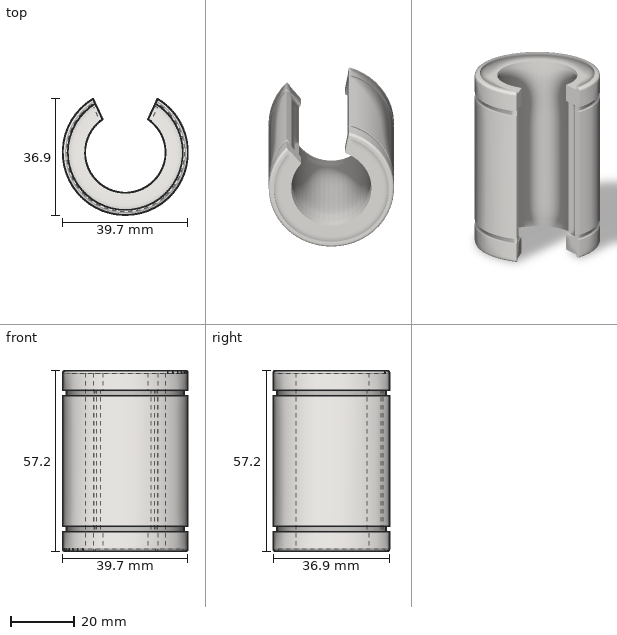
import cadquery as cq
import math

length = 57.15
outer_radius = 19.85
bore_radius = 12.7
edge_round = 0.85

groove_radius = 18.65
groove_width = 1.65
end_land = 6.25

lip_inner_radius = 18.2
recess_depth = 0.8

slot_half_angle = math.radians(25)
slot_wall_offset = 2.05

cage_radius = 17.45
cage_setback = 1.05
cage_length = length - 2 * end_land


def disc(radius, height):
    return cq.Workplane("XY").circle(radius).extrude(height / 2, both=True)


def slot_wedge(wall_offset, height):
    """Wedge whose walls lie wall_offset from the axis, measured square to each wall."""
    reach = 2 * outer_radius
    apex_y = -wall_offset / math.sin(slot_half_angle)
    half_mouth = (reach - apex_y) * math.tan(slot_half_angle)
    corners = [(0, apex_y), (half_mouth, reach), (-half_mouth, reach)]
    wedge = cq.Workplane("XY").polyline(corners).close().extrude(height / 2, both=True)
    open_side = cq.Workplane("XY").box(2 * reach, reach, height, centered=(True, False, True))
    return wedge.intersect(open_side)


def groove():
    return (
        cq.Workplane("XY")
        .circle(outer_radius)
        .circle(groove_radius)
        .extrude(groove_width / 2, both=True)
    )


body = disc(outer_radius, length).faces("<Z or >Z").edges().fillet(edge_round)
body = body.cut(disc(bore_radius, length))

groove_z = length / 2 - end_land - groove_width / 2
for side in (-1, 1):
    body = body.cut(groove().translate((0, 0, side * groove_z)))
    body = body.cut(disc(lip_inner_radius, 2 * recess_depth).translate((0, 0, side * length / 2)))

body = body.cut(slot_wedge(slot_wall_offset, length))
cage_opening = slot_wedge(slot_wall_offset + cage_setback, cage_length)
body = body.cut(cage_opening.intersect(disc(cage_radius, cage_length)))

result = body